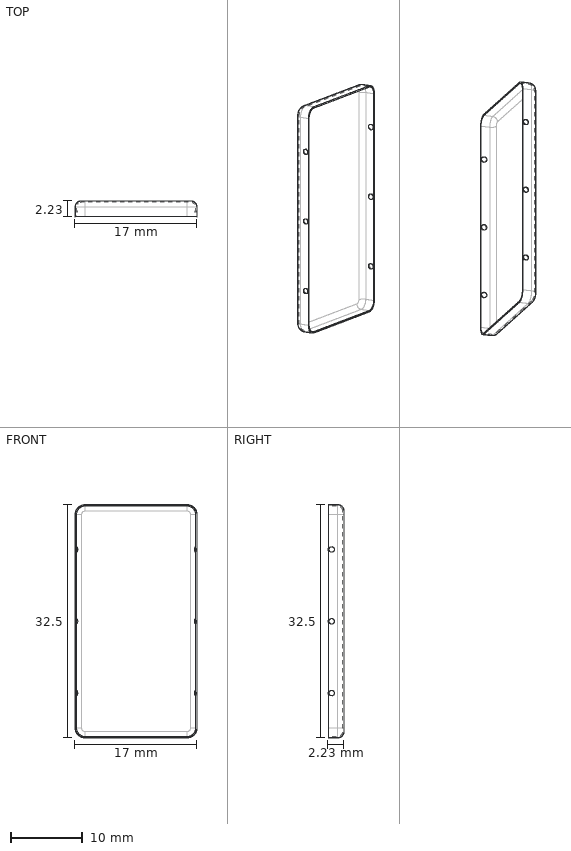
import cadquery as cq
import math

width = 17.0
height = 32.5
depth = 2.2
wall = 0.2
corner_radius = 1.4
floor_edge_radius = 0.9

dimple_pitch = 10.0
dimples_per_side = 3
hollow_radius = 0.37
hollow_depth = 0.22
bump_radius = 0.5
bump_height = 0.18
rim_overhang = 0.03
dimple_y = bump_radius - rim_overhang


def rounded_block(inset):
    """Tray volume from the rim to the floor, shrunk by inset on every side but the rim."""
    return (
        cq.Workplane("XZ")
        .rect(width - 2 * inset, height - 2 * inset)
        .extrude(-(depth - inset))
        .edges("|Y")
        .fillet(corner_radius - inset)
        .faces(">Y")
        .edges()
        .fillet(floor_edge_radius - inset)
    )


def spherical_cap(side, z, base_radius, cap_height):
    """Cap with its flat base on the outer face of a long wall, bulging toward the inside."""
    sphere_radius = (base_radius**2 + cap_height**2) / (2 * cap_height)
    middle_angle = math.asin(base_radius / sphere_radius) / 2
    middle_x = cap_height - sphere_radius * (1 - math.cos(middle_angle))
    middle_y = sphere_radius * math.sin(middle_angle)
    return (
        cq.Workplane("XY", origin=(side * width / 2, dimple_y, z))
        .lineTo(-side * cap_height, 0)
        .threePointArc((-side * middle_x, middle_y), (0, base_radius))
        .close()
        .revolve(360, (0, 0, 0), (1, 0, 0))
    )


def add_dimple(tray, side, z):
    """Raise a bump on the inside of a long wall and hollow it from the outside."""
    bump = spherical_cap(side, z, bump_radius, wall + bump_height)
    hollow = spherical_cap(side, z, hollow_radius, hollow_depth)
    return tray.union(bump).cut(hollow)


result = rounded_block(0).cut(rounded_block(wall))

first_dimple_z = -dimple_pitch * (dimples_per_side - 1) / 2
for side in (-1, 1):
    for index in range(dimples_per_side):
        result = add_dimple(result, side, first_dimple_z + index * dimple_pitch)